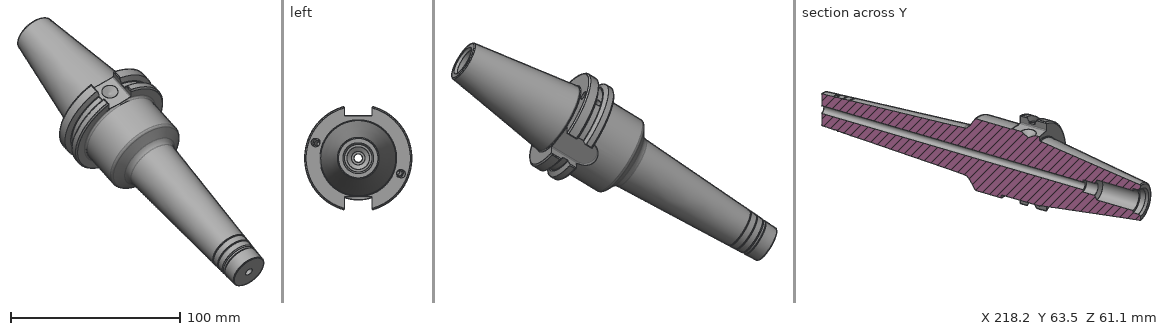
import cadquery as cq
import math


drill_tip_angle = math.radians(118)

taper_length = 68.25
rear_x = -taper_length
tip_x = 150.0

gauge_radius = 44.45 / 2
taper_slope = 7 / 48
rear_radius = gauge_radius - taper_length * taper_slope
rear_chamfer = 0.6

flange_radius = 63.5 / 2
flange_rear_x = 1.0
flange_front_x = 19.05
flange_chamfer = 0.9
flange_rear_fillet = 0.5
groove_x = 11.0
groove_floor_radius = 28.0
groove_wall_radius = 28.8
groove_floor_half = 1.85
groove_flank_angle = math.radians(30)
groove_rim_half = groove_floor_half + (flange_radius - groove_wall_radius) * math.tan(groove_flank_angle)

slot_width = 16.1
upper_slot_height = 25.1
lower_slot_height = 22.6
slot_floor_fillet = 0.5
slot_edge_chamfer = 0.6

dimple_radius = 9.5 / 2
dimple_x = 8.8

body_radius = 49.5 / 2
body_root_fillet = 1.2
shoulder_x = 45.0
shoulder_angle = math.radians(57)
shoulder_outer_fillet = 2.0
shoulder_inner_fillet = 4.5

nose_slope = math.tan(math.radians(3))
tip_radius = 11.1
tip_chamfer = 0.4

ring_depth = 0.25
narrow_ring_positions = (130.4, 135.0)
narrow_ring_width = 0.6
wide_ring_x = 140.6
wide_ring_width = 2.6
wide_ring_floor = 1.3

mouth_radius = 16.3 / 2
mouth_depth = 5.3
countersink_radius = 9.1
countersink_half_angle = math.radians(30)
countersink_depth = (countersink_radius - mouth_radius) / math.tan(countersink_half_angle)
socket_radius = 13.39 / 2
socket_depth = 30.0
socket_floor_radius = 8.0 / 2
socket_cone_length = (socket_radius - socket_floor_radius) / math.tan(drill_tip_angle / 2)
floor_bore_depth = 8.0
bore_radius = 4.92 / 2

port_angle = 20.0
port_circle_radius = 26.9
port_tilt = math.radians(20)
port_mouth_radius = 4.92 / 2
port_mouth_depth = 3.0
port_duct_radius = 3.24 / 2
outlet_x = 10.7
outlet_radius = 4.0 / 2
outlet_depth = 7.5


def nose_radius(x):
    return tip_radius + (tip_x - x) * nose_slope


def revolve_about_x(points):
    return cq.Workplane("XY").polyline(points).close().revolve(360, (0, 0, 0), (1, 0, 0))


def edge_at(x, radius):
    """Selector for the full circle of the given radius around X at the given station."""
    near = 0.05
    reach = radius + near
    return cq.selectors.BoxSelector((x - near, -reach, -reach), (x + near, reach, reach), boundingbox=True)


def make_taper():
    return revolve_about_x([
        (rear_x, 0),
        (rear_x, rear_radius - rear_chamfer),
        (rear_x + rear_chamfer, rear_radius + rear_chamfer * taper_slope),
        (0, gauge_radius),
        (groove_x, gauge_radius),
        (groove_x, 0),
    ])


def make_flange():
    return revolve_about_x([
        (flange_rear_x, 0),
        (flange_rear_x, flange_radius - flange_chamfer),
        (flange_rear_x + flange_chamfer, flange_radius),
        (groove_x - groove_rim_half, flange_radius),
        (groove_x - groove_floor_half, groove_wall_radius),
        (groove_x - groove_floor_half, groove_floor_radius),
        (groove_x + groove_floor_half, groove_floor_radius),
        (groove_x + groove_floor_half, groove_wall_radius),
        (groove_x + groove_rim_half, flange_radius),
        (flange_front_x - flange_chamfer, flange_radius),
        (flange_front_x, flange_radius - flange_chamfer),
        (flange_front_x, 0),
    ])


def make_front():
    """Body, shoulder and nose, with the two rounded shoulder corners."""
    shoulder_rate = math.tan(shoulder_angle)
    shoulder_end_x = (
        (body_radius + shoulder_x * shoulder_rate - tip_radius - tip_x * nose_slope)
        / (shoulder_rate - nose_slope)
    )
    front = revolve_about_x([
        (groove_x, 0),
        (groove_x, body_radius),
        (shoulder_x, body_radius),
        (shoulder_end_x, nose_radius(shoulder_end_x)),
        (tip_x - tip_chamfer, nose_radius(tip_x - tip_chamfer)),
        (tip_x, tip_radius - tip_chamfer),
        (tip_x, 0),
    ])
    front = front.edges(edge_at(shoulder_x, body_radius)).fillet(shoulder_outer_fillet)
    return front.edges(edge_at(shoulder_end_x, nose_radius(shoulder_end_x))).fillet(shoulder_inner_fillet)


def ring_cutter(x, width, floor_width):
    """Annulus that cuts a ring groove; its flanks keep their slope a little above the nose surface."""
    surface = nose_radius(x)
    outer_half = width - floor_width / 2
    return revolve_about_x([
        (x - floor_width / 2, surface - ring_depth),
        (x - outer_half, surface + ring_depth),
        (x + outer_half, surface + ring_depth),
        (x + floor_width / 2, surface - ring_depth),
    ])


def make_socket():
    cone_x = rear_x + socket_depth
    floor_x = cone_x + socket_cone_length
    return revolve_about_x([
        (rear_x, 0),
        (rear_x, countersink_radius),
        (rear_x + countersink_depth, mouth_radius),
        (rear_x + mouth_depth, mouth_radius),
        (rear_x + mouth_depth, socket_radius),
        (cone_x, socket_radius),
        (floor_x, socket_floor_radius),
        (floor_x + floor_bore_depth, socket_floor_radius),
        (floor_x + floor_bore_depth, bore_radius),
        (tip_x, bore_radius),
        (tip_x, 0),
    ])


def make_slot(floor_height):
    """Drive slot on the +Z side: open at the rear, round-ended at the front, with flared rim edges."""
    half = slot_width / 2
    depth = flange_radius - floor_height
    channel = (
        cq.Workplane("XY", origin=(0, 0, floor_height))
        .moveTo(0, -half)
        .lineTo(flange_front_x, -half)
        .threePointArc((flange_front_x + half, 0), (flange_front_x, half))
        .lineTo(0, half)
        .close()
        .extrude(depth)
        .faces("<Z").edges("not <X").fillet(slot_floor_fillet)
    )
    rim_half = half + slot_edge_chamfer
    rim_height = math.sqrt(flange_radius**2 - rim_half**2)
    flare_rise = 2 * slot_edge_chamfer
    flare = (
        cq.Workplane("YZ")
        .moveTo(-half, rim_height - slot_edge_chamfer)
        .lineTo(half, rim_height - slot_edge_chamfer)
        .lineTo(half + flare_rise, rim_height - slot_edge_chamfer + flare_rise)
        .lineTo(-half - flare_rise, rim_height - slot_edge_chamfer + flare_rise)
        .close()
        .extrude(flange_front_x)
    )
    return channel.union(flare)


def make_dimple():
    cone_depth = dimple_radius / math.tan(drill_tip_angle / 2)
    profile = (
        cq.Workplane("XZ", origin=(dimple_x, 0, 0))
        .moveTo(0, upper_slot_height - cone_depth)
        .lineTo(dimple_radius, upper_slot_height)
        .lineTo(0, upper_slot_height)
        .close()
    )
    return profile.revolve(360, (0, 0, 0), (0, 1, 0))


def cylinder(radius, length, start, direction):
    return cq.Workplane(cq.Solid.makeCylinder(radius, length, cq.Vector(*start), cq.Vector(*direction)))


def make_port():
    """Port at +Y: a hole sloping inward from the rear flange face meets a radial outlet in the groove."""
    axis = (math.cos(port_tilt), -math.sin(port_tilt), 0)
    overrun = port_mouth_radius
    start = (flange_rear_x - overrun * axis[0], port_circle_radius - overrun * axis[1], 0)
    duct_length = overrun + (groove_x - flange_rear_x) / math.cos(port_tilt)
    mouth = cylinder(port_mouth_radius, overrun + port_mouth_depth, start, axis)
    duct = cylinder(port_duct_radius, duct_length, start, axis)
    outlet_floor = groove_wall_radius - outlet_depth
    outlet = cylinder(outlet_radius, outlet_depth, (outlet_x, outlet_floor, 0), (0, 1, 0))
    return mouth.union(duct).union(outlet)


result = make_taper().union(make_flange()).union(make_front())
result = result.edges(edge_at(flange_front_x, body_radius)).fillet(body_root_fillet)
result = result.edges(edge_at(flange_rear_x, gauge_radius)).fillet(flange_rear_fillet)
for ring_x in narrow_ring_positions:
    result = result.cut(ring_cutter(ring_x, narrow_ring_width, narrow_ring_width))
result = result.cut(ring_cutter(wide_ring_x, wide_ring_width, wide_ring_floor))
result = result.cut(make_socket())
result = result.cut(make_slot(upper_slot_height))
result = result.cut(make_slot(lower_slot_height).rotate((0, 0, 0), (1, 0, 0), 180))
result = result.cut(make_dimple())
for turn in (port_angle, port_angle + 180):
    result = result.cut(make_port().rotate((0, 0, 0), (1, 0, 0), turn))